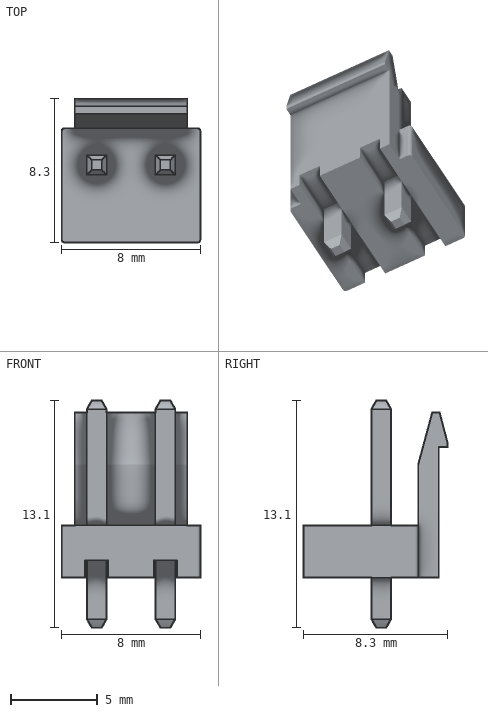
import cadquery as cq


base_width = 8.0
base_depth = 6.6
base_height = 3.0
base_corner_radius = 0.2

pin_width = 1.14
pin_pitch = 3.95
pin_y = 4.48
pin_length = 13.1
pin_below_base = 2.9
tip_height = 0.5
tip_width = pin_width / 2

notch_width = 1.32
notch_height = 1.0

wall_width = 6.5
wall_thickness = 1.2
wall_rise = 6.51
barb_overhang = 0.5
barb_height = 2.0
barb_lip = 0.26
crest_thickness = 0.43
lead_in_height = 3.0
lead_in_run = 0.81

pin_positions = [-pin_pitch / 2, pin_pitch / 2]


def make_base():
    block = cq.Workplane("XY").box(base_width, base_depth, base_height, centered=(True, False, False))
    return block.edges("|Z").fillet(base_corner_radius)


def make_latch_wall():
    front = base_depth
    rear = front + wall_thickness
    barb_rear = rear + barb_overhang
    top = base_height + wall_rise
    catch_z = top - barb_height
    crest_front = front + lead_in_run
    profile = [
        (front, 0),
        (front, top - lead_in_height),
        (crest_front, top),
        (crest_front + crest_thickness, top),
        (barb_rear, catch_z + barb_lip),
        (barb_rear, catch_z),
        (rear, catch_z),
        (rear, 0),
    ]
    return cq.Workplane("YZ").polyline(profile).close().extrude(wall_width / 2, both=True)


def make_notch(x):
    notch_length = base_depth + wall_thickness
    notch = cq.Workplane("XY").box(notch_width, notch_length, notch_height, centered=(True, False, False))
    return notch.translate((x, 0, 0))


def make_pin(x):
    shank_length = pin_length - 2 * tip_height
    shank = cq.Workplane("XY").rect(pin_width, pin_width).extrude(shank_length)
    upper_tip = (
        cq.Workplane("XY", origin=(0, 0, shank_length))
        .rect(pin_width, pin_width)
        .workplane(offset=tip_height)
        .rect(tip_width, tip_width)
        .loft(ruled=True)
    )
    lower_tip = upper_tip.mirror("XY", (0, 0, shank_length / 2))
    pin = shank.union(upper_tip).union(lower_tip)
    return pin.translate((x, pin_y, tip_height - pin_below_base))


result = make_base().union(make_latch_wall())

for pin_x in pin_positions:
    result = result.cut(make_notch(pin_x)).union(make_pin(pin_x))